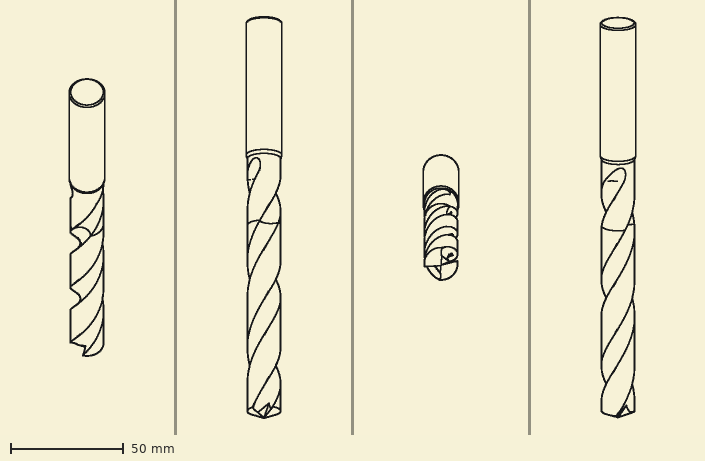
import cadquery as cq
import math

overall_length = 185.0
shank_radius = 8.0
shank_chamfer = 0.7
body_radius = 7.4
point_height = 3.3
joint_height = 90.1
neck_height = 121.2
shoulder_height = 122.8

flute_count = 2
flute_radius = 4.8
flute_offset = 7.8
helix_angle = 30.0
helix_lead = 2 * math.pi * body_radius / math.tan(math.radians(helix_angle))
flute_start = -1.8
flute_end = 111.7
flute_end_angle = 48.0
runout_height = 11.1
runout_outward_slope = 0.36
runout_tangent_slope = 0.8

gash_foot = (0.5, -0.5, 1.1)
gash_direction = (1.4, -0.9, 2.7)
gash_below_foot = 2.8
gash_length = 11.1
gash_depth = 7.4
gash_wall_angle = 45.0


def revolve_profile(points):
    """Revolve an (r, z) outline about the drill axis."""
    return cq.Workplane("XZ").polyline(points).close().revolve(360, (0, 0), (0, 1))


def helical_flute(end_angle):
    """Round groove winding up to flute_end, where its centre lies at end_angle."""
    length = flute_end - flute_start
    twist = 360 * length / helix_lead
    groove = (
        cq.Workplane("XY")
        .moveTo(flute_offset, 0)
        .circle(flute_radius)
        .twistExtrude(length, twist)
    )
    return groove.rotate((0, 0, 0), (0, 0, 1), end_angle - twist).translate((0, 0, flute_start))


def flute_runout(end_angle):
    """Straight continuation of a flute, leaning outward until it leaves the body."""
    outline = cq.Wire.makeCircle(flute_radius, cq.Vector(flute_offset, 0, flute_end), cq.Vector(0, 0, 1))
    direction = cq.Vector(
        runout_height * runout_outward_slope,
        runout_height * runout_tangent_slope,
        runout_height,
    )
    runout = cq.Workplane(obj=cq.Solid.extrudeLinear(outline, [], direction))
    return runout.rotate((0, 0, 0), (0, 0, 1), end_angle)


def point_gash(turn):
    """V notch that thins the web, turned about the drill axis."""
    half_width = gash_depth * math.tan(math.radians(gash_wall_angle))
    notch = (
        cq.Workplane(cq.Plane(origin=gash_foot, xDir=(1, 0, 0), normal=gash_direction))
        .workplane(offset=-gash_below_foot)
        .polyline([(0, 0), (-half_width, -gash_depth), (half_width, -gash_depth)])
        .close()
        .extrude(gash_length)
    )
    return notch.rotate((0, 0, 0), (0, 0, 1), turn)


def make_cutting_section(flute_angles):
    section = revolve_profile([
        (0, 0),
        (body_radius, point_height),
        (body_radius, joint_height),
        (0, joint_height),
    ])
    for angle in flute_angles:
        section = section.cut(helical_flute(angle))
    for i in range(flute_count):
        section = section.cut(point_gash(i * 360 / flute_count))
    return section


def make_shank(flute_angles):
    shank = revolve_profile([
        (0, joint_height),
        (body_radius, joint_height),
        (body_radius, neck_height),
        (shank_radius, shoulder_height),
        (shank_radius, overall_length - shank_chamfer),
        (shank_radius - shank_chamfer, overall_length),
        (0, overall_length),
    ])
    for angle in flute_angles:
        shank = shank.cut(helical_flute(angle)).cut(flute_runout(angle))
    return shank


flute_angles = [flute_end_angle + i * 360 / flute_count for i in range(flute_count)]
cutting_section = make_cutting_section(flute_angles)
shank = make_shank(flute_angles)

result = cq.Compound.makeCompound([*cutting_section.solids().vals(), *shank.solids().vals()])